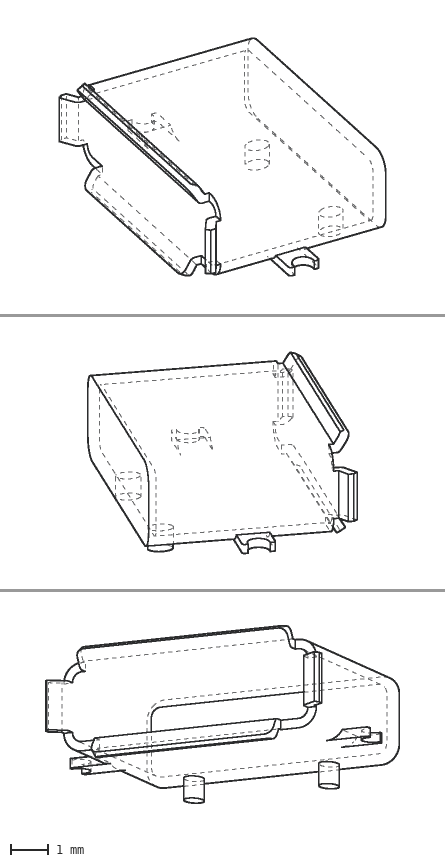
import cadquery as cq
import math

sheet = 0.255
shell_width = 7.43
shell_height = 2.4
shell_length = 5.01
corner_radius = 0.53

lip_reach = 0.59
lip_rise = 0.31
lip_tip_rise = 0.22
lip_straight = 0.13
lip_crest_start = 0.325
lip_crest_end = 0.47
inner_bend_setback = 0.083
flare_run = lip_crest_start - lip_straight
flare_length = math.hypot(flare_run, lip_rise)
lip_corner_radius = 0.22
top_lip_width = 6.18
bottom_lip_width = 5.34
side_lip_height = shell_height - 2 * corner_radius

tab_span = 8.78
tab_length = 0.9
tab_center_y = 2.17
tab_corner_radius = 0.07
notch_radius = 0.3
notch_depth = 0.38

peg_spacing = 3.97
peg_width = 0.51
peg_length = 0.685
peg_drop = 0.6
peg_center_y = shell_length - 0.7


def rounded_bar(width, height, radius, start_y, end_y):
    """Bar along Y, centred on the shell, with rounded long edges."""
    return (
        cq.Workplane("XY")
        .box(width, end_y - start_y, height)
        .edges("|Y")
        .fillet(radius)
        .translate((0, (start_y + end_y) / 2, shell_height / 2))
    )


def make_shell():
    outer = rounded_bar(shell_width, shell_height, corner_radius, 0, shell_length)
    cavity = rounded_bar(
        shell_width - 2 * sheet,
        shell_height - 2 * sheet,
        corner_radius - sheet,
        0,
        shell_length - sheet,
    )
    return outer.cut(cavity)


def make_lip(width):
    """Lip centred on X, running toward -Y and flaring up; its outer face starts at Z = 0."""
    inner_corner = lip_reach - flare_run * (sheet + lip_tip_rise) / lip_rise
    bend_start = (-inner_corner + inner_bend_setback, -sheet)
    bend_end = (
        -inner_corner - inner_bend_setback * flare_run / flare_length,
        -sheet + inner_bend_setback * lip_rise / flare_length,
    )
    return (
        cq.Workplane("YZ")
        .moveTo(sheet, 0)
        .lineTo(sheet, -sheet)
        .lineTo(*bend_start)
        .tangentArcPoint(bend_end, relative=False)
        .lineTo(-lip_reach, lip_tip_rise)
        .lineTo(-lip_crest_end, lip_rise)
        .lineTo(-lip_crest_start, lip_rise)
        .lineTo(-lip_straight, 0)
        .close()
        .extrude(width / 2, both=True)
    )


def round_lip_corners(lip, width):
    """Round the two free corners in the plane of the flared stretch."""
    face_normal = (0, lip_rise / flare_length, flare_run / flare_length)
    tip_plane = cq.Plane(origin=(0, -lip_reach, lip_tip_rise), xDir=(1, 0, 0), normal=face_normal)
    blank_length = 4 * lip_reach
    blank = (
        cq.Workplane(tip_plane)
        .center(0, blank_length / 2)
        .rect(width, blank_length)
        .extrude(blank_length, both=True)
        .edges(cq.selectors.ParallelDirSelector(cq.Vector(*face_normal)))
        .fillet(lip_corner_radius)
    )
    return lip.intersect(blank)


def make_lips():
    top = round_lip_corners(make_lip(top_lip_width), top_lip_width).translate((0, 0, shell_height))
    bottom = round_lip_corners(make_lip(bottom_lip_width), bottom_lip_width).mirror("XY")
    right = (
        make_lip(side_lip_height)
        .rotate((0, 0, 0), (0, 1, 0), 90)
        .translate((shell_width / 2, 0, shell_height / 2))
    )
    return [top, bottom, right, right.mirror("YZ")]


def make_tab():
    """Right-hand solder tab, rooted in the curve of the lower shell corner."""
    root_x = shell_width / 2 - corner_radius
    end_x = tab_span / 2
    plate = (
        cq.Workplane("XY")
        .box(end_x - root_x, tab_length, sheet, centered=(False, True, False))
        .translate((root_x, tab_center_y, 0))
        .edges("|Z and >X")
        .fillet(tab_corner_radius)
    )
    slot_length = 4 * notch_radius
    slot_center_x = end_x - notch_depth + slot_length / 2
    notch = (
        cq.Workplane("XY")
        .center(slot_center_x, tab_center_y)
        .slot2D(slot_length, 2 * notch_radius)
        .extrude(sheet)
    )
    return plate.cut(notch)


def make_pegs():
    return (
        cq.Workplane("XY")
        .pushPoints([(side * peg_spacing / 2, peg_center_y) for side in (-1, 1)])
        .ellipse(peg_width / 2, peg_length / 2)
        .extrude(-peg_drop)
    )


result = make_shell()
for lip in make_lips():
    result = result.union(lip)

tab = make_tab()
result = result.union(tab).union(tab.mirror("YZ")).union(make_pegs())